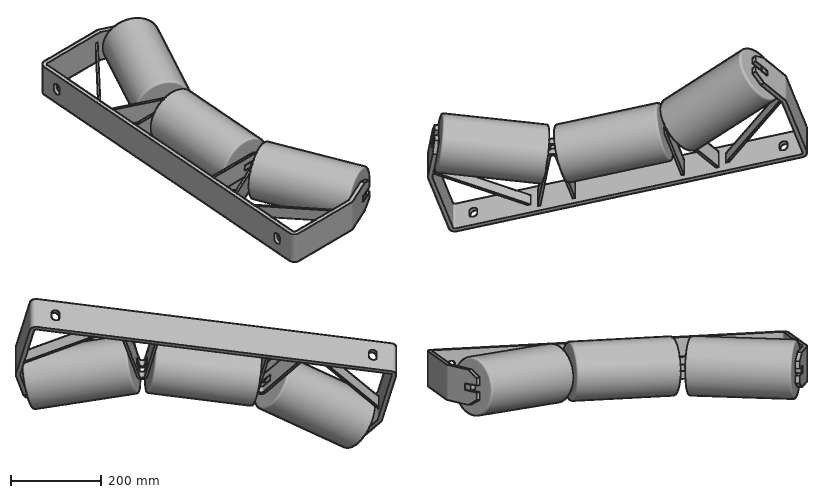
import cadquery as cq
import math


TROUGH_ANGLE = 25.0
ROLLER_DIAMETER = 133.0
ROLLER_LENGTH = 240.0
ROLLER_EDGE_RADIUS = 5.0
ROLLER_GAP = 3.0
CENTRE_ROLLER_Y = 126.0
SIDE_ROLLER_X = 264.0
SIDE_ROLLER_Y = 186.0
SHAFT_DIAMETER = 20.0
SHAFT_WIDTH_ACROSS_FLATS = 14.0
SLOT_WIDTH = 16.0
SLOT_CORNER_RADIUS = 3.0

FRAME_LENGTH = 830.0
FRAME_HEIGHT = 80.0
FRAME_THICKNESS = 10.0
FRAME_INNER_BEND_RADIUS = 5.0
ARM_TIP_ABOVE_SHAFT = 30.0
ARM_TIP_CHAMFER_LENGTH = 28.0
ARM_TIP_CHAMFER_HEIGHT = 15.0
MOUNT_HOLE_X = 359.0
MOUNT_HOLE_WIDTH = 18.0
MOUNT_HOLE_HEIGHT = 28.0

BRACKET_HEIGHT = 50.0
BRACKET_THICKNESS = 6.0
BRACKET_OUTER_RADIUS = 12.0

BRACE_HEIGHT = 30.0
BRACE_THICKNESS = 5.0
BRACE_ARM_Y = 168.0
BRACE_BASE_X = 226.0

TILT = math.radians(TROUGH_ANGLE)
HALF_LENGTH = FRAME_LENGTH / 2
SHAFT_RADIUS = SHAFT_DIAMETER / 2
SUPPORT_FACE = ROLLER_LENGTH / 2 + ROLLER_GAP
FRAME_OUTER_BEND_RADIUS = FRAME_INNER_BEND_RADIUS + FRAME_THICKNESS

CENTRE_PLACE = cq.Location(cq.Vector(0, CENTRE_ROLLER_Y, 0))
SIDE_PLACE = cq.Location(cq.Vector(SIDE_ROLLER_X, SIDE_ROLLER_Y, 0), cq.Vector(0, 0, 1), TROUGH_ANGLE)


def side_point(along, across):
    """XY position of a point given in the right-hand side roller's own axes."""
    return (
        SIDE_ROLLER_X + along * math.cos(TILT) - across * math.sin(TILT),
        SIDE_ROLLER_Y + along * math.sin(TILT) + across * math.cos(TILT),
    )


def mirrored_pair(solid):
    return [solid, solid.mirror("YZ")]


def slab(outline, height):
    """Closed XY outline extruded to the given height, centred on Z = 0."""
    return cq.Workplane("XY").polyline(outline).close().extrude(height / 2, both=True)


def roller(left_support, right_support):
    """Drum with a flatted shaft that ends flush with the far faces of its two support plates."""
    drum = (
        cq.Workplane("YZ", origin=(-ROLLER_LENGTH / 2, 0, 0))
        .circle(ROLLER_DIAMETER / 2)
        .extrude(ROLLER_LENGTH)
        .edges()
        .fillet(ROLLER_EDGE_RADIUS)
    )
    shaft_start = -SUPPORT_FACE - left_support
    shaft_length = 2 * SUPPORT_FACE + left_support + right_support
    shaft = cq.Workplane("YZ", origin=(shaft_start, 0, 0)).circle(SHAFT_RADIUS).extrude(shaft_length)
    flats = cq.Workplane("XY").box(2 * shaft_length, SHAFT_DIAMETER, SHAFT_WIDTH_ACROSS_FLATS)
    return drum.union(shaft.intersect(flats))


def shaft_slot(start, thickness):
    """Cutter in roller axes for a slot that opens upward from the underside of the shaft."""
    depth = SHAFT_RADIUS + ARM_TIP_ABOVE_SHAFT
    return (
        cq.Workplane("XY")
        .box(thickness, depth, SLOT_WIDTH, centered=(False, False, True))
        .edges("|X and <Y")
        .fillet(SLOT_CORNER_RADIUS)
        .translate((start, -SHAFT_RADIUS, 0))
    )


def arm_tip_cutter():
    """Cutter in roller axes for the shaft slot and the two corner chamfers of an arm tip."""
    tip = ARM_TIP_ABOVE_SHAFT
    edge = FRAME_HEIGHT / 2
    corner = (
        cq.Workplane("YZ", origin=(SUPPORT_FACE, 0, 0))
        .polyline([(tip, edge), (tip - ARM_TIP_CHAMFER_LENGTH, edge), (tip, edge - ARM_TIP_CHAMFER_HEIGHT)])
        .close()
        .extrude(FRAME_THICKNESS)
    )
    return shaft_slot(SUPPORT_FACE, FRAME_THICKNESS).union(corner).union(corner.mirror("XY"))


def arm_bend(offset):
    """Sharp corner where a face of the right arm, set in by offset, turns towards its roller."""
    x = HALF_LENGTH - offset
    along = SUPPORT_FACE + FRAME_THICKNESS - offset
    y = SIDE_ROLLER_Y + (along - (x - SIDE_ROLLER_X) * math.cos(TILT)) / math.sin(TILT)
    return (x, y)


def round_bends(strip, corners, radius):
    for x, y in corners:
        for side in (1, -1):
            nearest = cq.selectors.NearestToPointSelector((side * x, y, 0))
            strip = strip.edges("|Z").edges(nearest).fillet(radius)
    return strip


def frame():
    outer_bends = [arm_bend(0), (HALF_LENGTH, 0)]
    inner_bends = [arm_bend(FRAME_THICKNESS), (HALF_LENGTH - FRAME_THICKNESS, FRAME_THICKNESS)]
    outer_tip = side_point(SUPPORT_FACE + FRAME_THICKNESS, ARM_TIP_ABOVE_SHAFT)
    inner_tip = side_point(SUPPORT_FACE, ARM_TIP_ABOVE_SHAFT)

    right_half = inner_bends[::-1] + [inner_tip, outer_tip] + outer_bends
    left_half = [(-x, y) for x, y in reversed(right_half)]
    strip = slab(right_half + left_half, FRAME_HEIGHT)
    strip = round_bends(strip, outer_bends, FRAME_OUTER_BEND_RADIUS)
    strip = round_bends(strip, inner_bends, FRAME_INNER_BEND_RADIUS)

    for cutter in mirrored_pair(arm_tip_cutter().val().moved(SIDE_PLACE)):
        strip = strip.cut(cq.Workplane(cutter))

    mount_holes = (
        cq.Workplane("XZ")
        .pushPoints([(-MOUNT_HOLE_X, 0), (MOUNT_HOLE_X, 0)])
        .slot2D(MOUNT_HOLE_HEIGHT, MOUNT_HOLE_WIDTH, 90)
        .extrude(-FRAME_THICKNESS)
    )
    return strip.cut(mount_holes)


def bracket_fill(centre, radius):
    """Solid under the right bracket's fold: one upright side, one tilted side, a round top."""
    x, y = centre
    top_angle = (math.pi + TILT) / 2
    tilted_start = (x + radius * math.cos(TILT), y + radius * math.sin(TILT))
    tilted_foot_x = tilted_start[0] + (tilted_start[1] - FRAME_THICKNESS) * math.tan(TILT)
    return (
        cq.Workplane("XY")
        .moveTo(x - radius, FRAME_THICKNESS)
        .lineTo(x - radius, y)
        .threePointArc((x + radius * math.cos(top_angle), y + radius * math.sin(top_angle)), tilted_start)
        .lineTo(tilted_foot_x, FRAME_THICKNESS)
        .close()
        .extrude(BRACKET_HEIGHT / 2, both=True)
    )


def bracket():
    face_x, face_y = side_point(-SUPPORT_FACE, 0)
    apex_y = face_y + (face_x - SUPPORT_FACE) / math.tan(TILT)
    fold_centre = (
        SUPPORT_FACE + BRACKET_OUTER_RADIUS,
        apex_y - BRACKET_OUTER_RADIUS / math.tan(TILT / 2),
    )
    outside = bracket_fill(fold_centre, BRACKET_OUTER_RADIUS)
    inside = bracket_fill(fold_centre, BRACKET_OUTER_RADIUS - BRACKET_THICKNESS)
    folded = outside.cut(inside)

    reach = 2 * BRACKET_OUTER_RADIUS
    upright_slot = shaft_slot(SUPPORT_FACE, reach).val().moved(CENTRE_PLACE)
    tilted_slot = shaft_slot(-SUPPORT_FACE - reach, reach).val().moved(SIDE_PLACE)
    return folded.cut(cq.Workplane(upright_slot)).cut(cq.Workplane(tilted_slot))


def brace():
    arm_x = HALF_LENGTH - FRAME_THICKNESS
    slope = math.atan2(BRACE_ARM_Y - FRAME_THICKNESS, arm_x - BRACE_BASE_X)
    outline = [
        (arm_x, BRACE_ARM_Y),
        (BRACE_BASE_X, FRAME_THICKNESS),
        (BRACE_BASE_X + BRACE_THICKNESS / math.sin(slope), FRAME_THICKNESS),
        (arm_x, BRACE_ARM_Y - BRACE_THICKNESS / math.cos(slope)),
    ]
    return slab(outline, BRACE_HEIGHT)


centre_roller = roller(BRACKET_THICKNESS, BRACKET_THICKNESS).val().moved(CENTRE_PLACE)
side_rollers = mirrored_pair(roller(BRACKET_THICKNESS, FRAME_THICKNESS).val().moved(SIDE_PLACE))
brackets = mirrored_pair(bracket().val())
braces = mirrored_pair(brace().val())

result = cq.Compound.makeCompound([frame().val(), centre_roller, *side_rollers, *brackets, *braces])